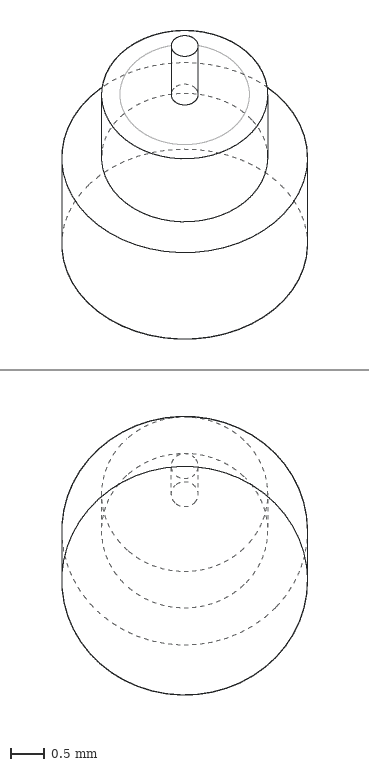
import cadquery as cq

total_height = 4.7
base_diameter = 3.7
base_height = 2.055
collar_diameter = 2.5
collar_height = 1.495
core_diameter = 1.95
pin_diameter = 0.405

collar_top = base_height + collar_height
pin_height = total_height - collar_top


def cylinder(diameter, height, bottom):
    """Upright cylinder on the Z axis, starting at the given bottom level."""
    return cq.Workplane("XY").workplane(offset=bottom).circle(diameter / 2).extrude(height)


base = cylinder(base_diameter, base_height, 0)
core = cylinder(core_diameter, collar_height, base_height)
collar = cylinder(collar_diameter, collar_height, base_height).cut(core)

pin = cylinder(pin_diameter, pin_height, collar_top)

result = base.union(collar, clean=False).union(core, clean=False).union(pin, clean=False)